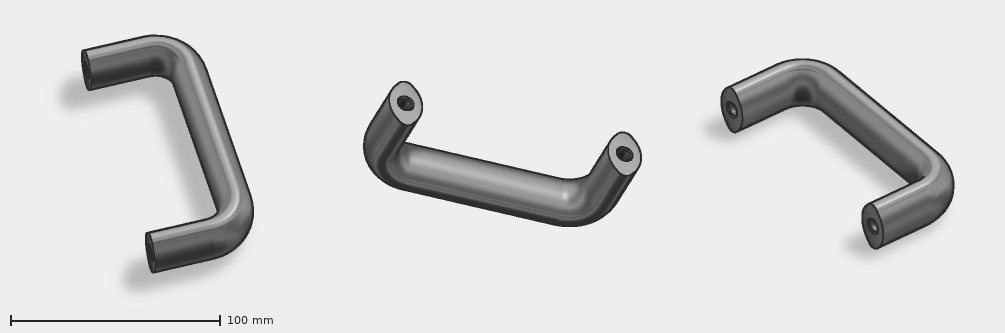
import cadquery as cq
import math

length = 129.0
depth = 55.0

section_width = 17.0
section_height = 25.9
side_radius = 15.0
end_arc_start_height = 10.7

outer_bend_radius = 25.5

hole_diameter = 6.7
hole_mouth_diameter = 8.3
hole_depth = 15.5
drill_point_angle = 118.0

half_width = section_width / 2
half_height = section_height / 2
bend_radius = outer_bend_radius - half_width
leg_x = length / 2 - half_width
bar_y = depth - half_width
leg_end_y = bar_y - bend_radius
bar_end_x = leg_x - bend_radius
diagonal_offset = bend_radius * math.sqrt(0.5)


def grip_section(workplane):
    """Draw the closed grip outline from two side arcs and two end arcs."""
    side_center = side_radius - half_width
    joint_z = end_arc_start_height
    joint_x = math.sqrt(side_radius**2 - joint_z**2) - side_center
    return (
        workplane.moveTo(joint_x, -joint_z)
        .threePointArc((half_width, 0), (joint_x, joint_z))
        .threePointArc((0, half_height), (-joint_x, joint_z))
        .threePointArc((-half_width, 0), (-joint_x, -joint_z))
        .threePointArc((0, -half_height), (joint_x, -joint_z))
        .close()
    )


def handle_body():
    """Sweep the grip section along the U-shaped centre line."""
    path = (
        cq.Workplane("XY")
        .moveTo(-leg_x, 0)
        .lineTo(-leg_x, leg_end_y)
        .threePointArc(
            (-bar_end_x - diagonal_offset, leg_end_y + diagonal_offset),
            (-bar_end_x, bar_y),
        )
        .lineTo(bar_end_x, bar_y)
        .threePointArc(
            (bar_end_x + diagonal_offset, leg_end_y + diagonal_offset),
            (leg_x, leg_end_y),
        )
        .lineTo(leg_x, 0)
    )
    return grip_section(cq.Workplane("XZ", origin=(-leg_x, 0, 0))).sweep(path)


def mounting_hole(x):
    """Revolve a countersunk blind hole with a conical bottom about the leg axis."""
    hole_radius = hole_diameter / 2
    mouth_radius = hole_mouth_diameter / 2
    chamfer = mouth_radius - hole_radius
    point_depth = hole_radius / math.tan(math.radians(drill_point_angle / 2))
    return (
        cq.Workplane("XY", origin=(x, 0, 0))
        .lineTo(mouth_radius, 0)
        .lineTo(hole_radius, chamfer)
        .lineTo(hole_radius, hole_depth)
        .lineTo(0, hole_depth + point_depth)
        .close()
        .revolve(360, (0, 0, 0), (0, 1, 0))
    )


result = handle_body()
for foot_x in (-leg_x, leg_x):
    result = result.cut(mounting_hole(foot_x))